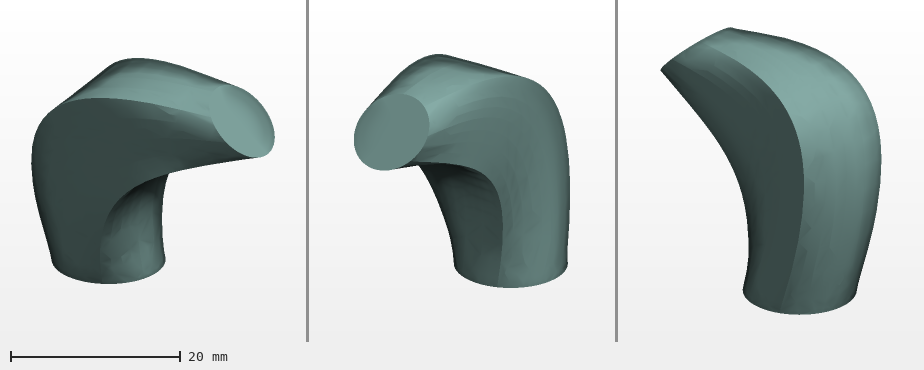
import cadquery as cq
import math


base_diameter = 13.45
tip_diameter = 9.85
tip_center = cq.Vector(19.67, -2.9, 23.92)
tip_tilt = 45.0

base_handle = cq.Vector(-3.3, -3.45, 20.3)
tip_handle = cq.Vector(5.75, -3.65, 23.25)

bend_thickness = 13.35
bend_width = 12.4
bend_tilt = 35.0
bend_place = 0.49

edge_count = 8
edge_step = 360.0 / edge_count
first_edge_angle = 23.0
tip_twist = 35.0
bend_side_shift = 0.1
tip_side_shift = -0.06

station_count = 9
steps_per_edge = 4


def center_at(t):
    """Point on the centre curve, t from 0 at the base to 1 at the tip."""
    s = 1 - t
    return base_handle * (3 * t * s**2) + tip_handle * (3 * t**2 * s) + tip_center * t**3


def tilted(u, v, tilt):
    """Section offset u (thickness) and v (width, along Y) on a plane tilted toward +X."""
    angle = math.radians(tilt)
    return cq.Vector(u * math.cos(angle), v, -u * math.sin(angle))


def shifted(edge_position, side_shift):
    """Slide a position by side_shift at the side edges, fading to nothing at the corner edges."""
    return edge_position + side_shift * (1 - abs(edge_position % 2 - 1))


def circle_offset(diameter, start_angle, edge_position, tilt):
    """Point on a circle, edge_position counting lengthwise edges around it."""
    angle = math.radians(start_angle + edge_step * edge_position)
    radius = diameter / 2
    return tilted(radius * math.cos(angle), radius * math.sin(angle), tilt)


def rectangle_offset(edge_position):
    """Point on the bend's rectangle; side 0 runs from the (+u, +v) corner toward -u."""
    side, along = divmod(edge_position, 2)
    slide = 1 - along
    u, v = [(slide, 1), (-1, slide), (-slide, -1), (1, -slide)][int(side) % 4]
    return tilted(u * bend_thickness / 2, v * bend_width / 2, bend_tilt)


def surface_point(t, edge_position):
    """Point on the skin: the three sections blended quadratically about the centre curve."""
    base = circle_offset(base_diameter, first_edge_angle, edge_position, 0)
    bend = rectangle_offset(shifted(edge_position, bend_side_shift))
    tip_position = shifted(edge_position, tip_side_shift)
    tip = circle_offset(tip_diameter, first_edge_angle + tip_twist, tip_position, tip_tilt)
    base_share = (t - bend_place) * (t - 1) / bend_place
    bend_share = t * (1 - t) / (bend_place * (1 - bend_place))
    tip_share = t * (t - bend_place) / (1 - bend_place)
    return center_at(t) + base * base_share + bend * bend_share + tip * tip_share


def end_section(t):
    """Round outline at either end, made of one exact arc between each pair of edges."""
    arcs = []
    for k in range(edge_count):
        points = [surface_point(t, k + part) for part in (0, 0.5, 1)]
        arcs.append(cq.Edge.makeThreePointArc(*points))
    return cq.Wire.assembleEdges(arcs)


def inner_section(t):
    """Outline part-way along, made of one spline between each pair of edges."""
    splines = []
    for k in range(edge_count):
        points = [surface_point(t, k + i / steps_per_edge) for i in range(steps_per_edge + 1)]
        splines.append(cq.Edge.makeSpline(points))
    return cq.Wire.assembleEdges(splines)


last = station_count - 1
sections = [end_section(0)]
sections += [inner_section(i / last) for i in range(1, last)]
sections.append(end_section(1))

result = cq.Workplane("XY").newObject([cq.Solid.makeLoft(sections)])